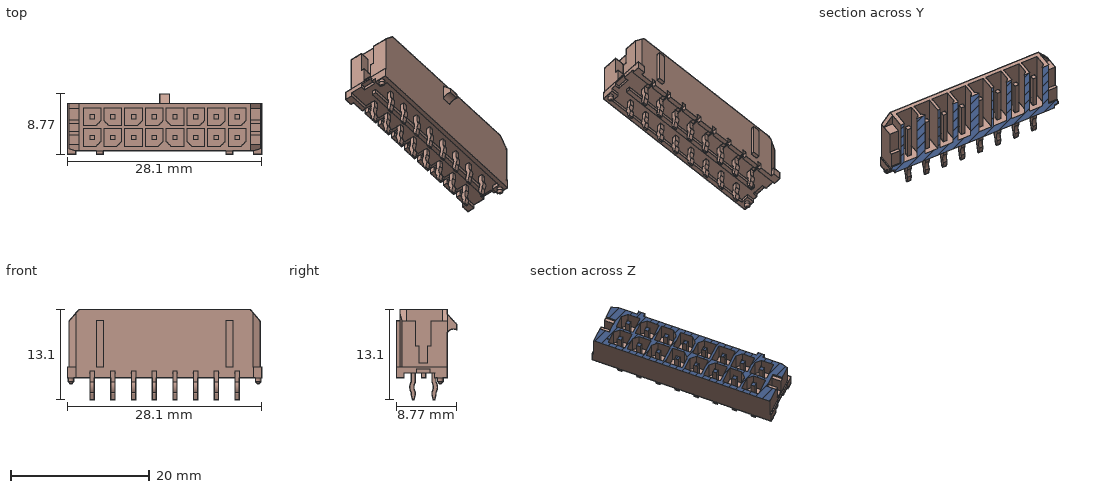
import cadquery as cq

HOUSING_DEPTH = 6.9
HOUSING_HEIGHT = 9.9
OVERALL_HEIGHT = 13.09
SHOULDER_LENGTH = 27.75
TOP_LENGTH = 24.85
SHOULDER_HEIGHT = 8.2
FRONT_CORNER_LENGTH = 1.05
FRONT_CORNER_DEPTH = 0.35

END_CUT_Y = -0.05

FLANGE_LENGTH = 28.15
FLANGE_TOP = 1.6
FOOT_PROJECTION = 0.5
FOOT_LENGTH = 1.22
STANDOFF = 0.68
WALL_SKIRT = 0.64
REAR_FOOT_DEPTH = 1.86
CENTRE_RIB_WIDTH = 0.62
END_NOTCH_WIDTH = 1.9
END_NOTCH_TOP = 1.28
END_NOTCH_DEPTH = 0.7

REAR_CHEEK = 0.74
FRONT_CHEEK = 0.94
UPPER_SLOT_WIDTH = 2.2
UPPER_SLOT_FLOOR = 4.58
LOWER_SLOT_WIDTH = 1.22
LOWER_SLOT_FLOOR = 2.13

PITCH = 3.0
COLUMNS = 8
CAVITY_SIZE = 2.56
CAVITY_KEY = 0.72
CAVITY_FLOOR = LOWER_SLOT_FLOOR
REAR_KEYS = "RLRRLRRR"
FRONT_KEYS = "RRNRLLRR"

PIN_SIZE = 0.64
PIN_TOP = 7.5
PIN_BOTTOM = HOUSING_HEIGHT - OVERALL_HEIGHT
KINK_TOP = -0.6
KINK_BOTTOM = -2.1
KINK_BULGE = 0.2
TAPER_TOP = -2.37
PIN_TIP = 0.24
PIN_NOTCH_TOP = 1.0

RIB_X = 9.37
RIB_WIDTH = 1.03
RIB_TOP = 8.3
LATCH_WIDTH = 1.48
LATCH_PROJECTION = 1.37
LATCH_TOP = 9.22
LATCH_NOSE_TOP = 7.74
LATCH_NOSE_BOTTOM = 6.93
LATCH_HOLLOW = 7.03
LATCH_ROOT = 6.57
PEG_X = 13.56
PEG_Y = 2.42
PEG_DIAMETER = 0.86
PEG_STRAIGHT = 0.5
PEG_LENGTH = 0.87
PEG_TIP_DIAMETER = 0.26

REAR_Y = HOUSING_DEPTH / 2
FRONT_Y = -REAR_Y
SHOULDER_X = SHOULDER_LENGTH / 2
TOP_X = TOP_LENGTH / 2
FLANGE_X = FLANGE_LENGTH / 2
FOOT_FRONT_Y = FRONT_Y - FOOT_PROJECTION
COLUMN_XS = [(i - (COLUMNS - 1) / 2) * PITCH for i in range(COLUMNS)]
ROW_Y = PITCH / 2


def box(x0, x1, y0, y1, z0, z1):
    """Box given by its limits on each axis."""
    return cq.Workplane("XY").box(x1 - x0, y1 - y0, z1 - z0, centered=False).translate((x0, y0, z0))


def both_ends(shape):
    """The shape together with its mirror image at the other end of the part."""
    return shape.union(shape.mirror("YZ"))


def make_housing():
    """Block with sloped upper ends and bevelled front corners."""
    outline = [
        (-SHOULDER_X, 0),
        (SHOULDER_X, 0),
        (SHOULDER_X, SHOULDER_HEIGHT),
        (TOP_X, HOUSING_HEIGHT),
        (-TOP_X, HOUSING_HEIGHT),
        (-SHOULDER_X, SHOULDER_HEIGHT),
    ]
    block = cq.Workplane("XZ").polyline(outline).close().extrude(REAR_Y, both=True)
    corner_x = SHOULDER_X - FRONT_CORNER_LENGTH
    plan = [
        (-SHOULDER_X, REAR_Y),
        (SHOULDER_X, REAR_Y),
        (SHOULDER_X, FRONT_Y + FRONT_CORNER_DEPTH),
        (corner_x, FRONT_Y),
        (-corner_x, FRONT_Y),
        (-SHOULDER_X, FRONT_Y + FRONT_CORNER_DEPTH),
    ]
    return block.intersect(cq.Workplane("XY").polyline(plan).close().extrude(HOUSING_HEIGHT))


def make_flange():
    """Base flange with a foot standing out of the front at each end."""
    flange = box(-FLANGE_X, FLANGE_X, FRONT_Y, REAR_Y, 0, FLANGE_TOP)
    foot = box(FLANGE_X - FOOT_LENGTH, FLANGE_X, FOOT_FRONT_Y, FRONT_Y, 0, FLANGE_TOP)
    return flange.union(both_ends(foot))


def make_end_recesses():
    """Space between the sloped cheeks, and the stepped slot below it."""
    def end_cut(y0, y1, z0):
        return box(TOP_X, FLANGE_X, y0, y1, z0, HOUSING_HEIGHT)

    def slot(width, floor):
        return end_cut(END_CUT_Y - width / 2, END_CUT_Y + width / 2, floor)

    recess = end_cut(FRONT_Y + FRONT_CHEEK, REAR_Y - REAR_CHEEK, SHOULDER_HEIGHT)
    recess = recess.union(slot(UPPER_SLOT_WIDTH, UPPER_SLOT_FLOOR))
    recess = recess.union(slot(LOWER_SLOT_WIDTH, LOWER_SLOT_FLOOR))
    return both_ends(recess)


def make_underside_cut():
    """Raised underside between the feet and wall skirts, with a notch at each end."""
    inner_x = FLANGE_X - FOOT_LENGTH
    cut = box(-inner_x, inner_x, FRONT_Y + WALL_SKIRT, REAR_Y - WALL_SKIRT, 0, STANDOFF)
    rear_foot_y = REAR_Y - REAR_FOOT_DEPTH
    cut = cut.union(box(-FLANGE_X, FLANGE_X, FRONT_Y + WALL_SKIRT, rear_foot_y, 0, STANDOFF))
    notch = box(
        FLANGE_X - END_NOTCH_DEPTH, FLANGE_X,
        END_CUT_Y - END_NOTCH_WIDTH / 2, END_CUT_Y + END_NOTCH_WIDTH / 2,
        0, END_NOTCH_TOP,
    )
    return cut.union(both_ends(notch))


def make_centre_rib():
    """Rib along the middle of the raised underside, as long as the top face."""
    half = CENTRE_RIB_WIDTH / 2
    return box(-TOP_X, TOP_X, -half, half, 0, STANDOFF)


def make_pin_notches():
    """Notches through the front wall into the front row of pins."""
    half = PIN_SIZE / 2
    notches = cq.Workplane("XY")
    for x in COLUMN_XS:
        notches = notches.add(box(x - half, x + half, FRONT_Y, -ROW_Y, 0, PIN_NOTCH_TOP))
    return notches.combine()


def make_cavity(x, y, key):
    """Square cavity with its keyed front corner bevelled."""
    cavity = cq.Workplane("XY").box(
        CAVITY_SIZE, CAVITY_SIZE, HOUSING_HEIGHT - CAVITY_FLOOR, centered=(True, True, False)
    )
    if key == "R":
        cavity = cavity.edges("|Z and >X and <Y").chamfer(CAVITY_KEY)
    elif key == "L":
        cavity = cavity.edges("|Z and <X and <Y").chamfer(CAVITY_KEY)
    return cavity.translate((x, y, CAVITY_FLOOR))


def make_cavities():
    """Both rows of contact cavities."""
    cavities = cq.Workplane("XY")
    for x, rear_key, front_key in zip(COLUMN_XS, REAR_KEYS, FRONT_KEYS):
        cavities = cavities.add(make_cavity(x, ROW_Y, rear_key))
        cavities = cavities.add(make_cavity(x, -ROW_Y, front_key))
    return cavities.combine()


def make_pin(x):
    """Rear-row square pin with an outward kink and a tapered tip."""
    half = PIN_SIZE / 2
    kink_middle = (KINK_TOP + KINK_BOTTOM) / 2
    inner = ROW_Y - half
    outer = ROW_Y + half
    profile = (
        cq.Workplane("YZ")
        .moveTo(inner, PIN_TOP)
        .lineTo(inner, KINK_TOP)
        .threePointArc((inner + KINK_BULGE, kink_middle), (inner, KINK_BOTTOM))
        .lineTo(inner, TAPER_TOP)
        .lineTo(ROW_Y - PIN_TIP / 2, PIN_BOTTOM)
        .lineTo(ROW_Y + PIN_TIP / 2, PIN_BOTTOM)
        .lineTo(outer, TAPER_TOP)
        .lineTo(outer, KINK_BOTTOM)
        .threePointArc((outer + KINK_BULGE, kink_middle), (outer, KINK_TOP))
        .lineTo(outer, PIN_TOP)
        .close()
    )
    return profile.extrude(half, both=True).translate((x, 0, 0))


def make_pins():
    """Both rows of pins, mirrored about the middle of the part."""
    pins = cq.Workplane("XY")
    for x in COLUMN_XS:
        rear_pin = make_pin(x)
        pins = pins.add(rear_pin).add(rear_pin.mirror("XZ"))
    return pins.combine()


def make_front_ribs():
    """Two upright ribs on the front face."""
    half = RIB_WIDTH / 2
    return both_ends(box(RIB_X - half, RIB_X + half, FOOT_FRONT_Y, FRONT_Y, FLANGE_TOP, RIB_TOP))


def make_latch():
    """Latch ramp on the rear face, hollowed underneath."""
    nose_y = REAR_Y + LATCH_PROJECTION
    profile = (
        cq.Workplane("YZ")
        .moveTo(REAR_Y, LATCH_TOP)
        .lineTo(nose_y, LATCH_NOSE_TOP)
        .lineTo(nose_y, LATCH_NOSE_BOTTOM)
        .threePointArc((REAR_Y + LATCH_PROJECTION / 2, LATCH_HOLLOW), (REAR_Y, LATCH_ROOT))
        .close()
    )
    return profile.extrude(LATCH_WIDTH / 2, both=True)


def make_pegs():
    """Locating peg with a conical tip under each rear foot."""
    profile = [
        (0, 0),
        (PEG_DIAMETER / 2, 0),
        (PEG_DIAMETER / 2, -PEG_STRAIGHT),
        (PEG_TIP_DIAMETER / 2, -PEG_LENGTH),
        (0, -PEG_LENGTH),
    ]
    peg = cq.Workplane("XZ").polyline(profile).close().revolve(360, (0, 0, 0), (0, 1, 0))
    return both_ends(peg.translate((PEG_X, PEG_Y, 0)))


body = make_housing().cut(make_end_recesses()).union(make_flange())
body = body.cut(make_underside_cut()).union(make_centre_rib())
body = body.cut(make_pin_notches()).cut(make_cavities())
result = body.union(make_front_ribs()).union(make_latch()).union(make_pegs()).union(make_pins())